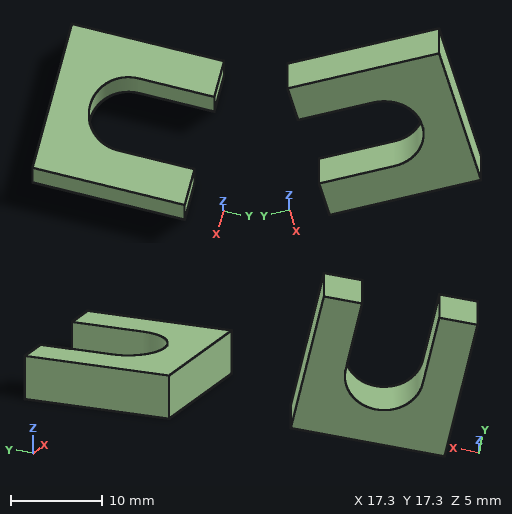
import cadquery as cq

side = 17.27
thickness = 5.0
slot_width = 8.64
wall = (side - slot_width) / 2

slot_radius = slot_width / 2
slot_center_y = -side / 2 + wall + slot_radius
slot_straight_length = side / 2 - slot_center_y


def make_slot():
    """Solid that clears the slot: a round end plus a straight run to the +Y edge."""
    round_end = cq.Workplane("XY").center(0, slot_center_y).circle(slot_radius).extrude(thickness)
    straight_run = (
        cq.Workplane("XY")
        .center(0, slot_center_y + slot_straight_length / 2)
        .rect(slot_width, slot_straight_length)
        .extrude(thickness)
    )
    return round_end.union(straight_run)


plate = cq.Workplane("XY").rect(side, side).extrude(thickness)
result = plate.cut(make_slot())